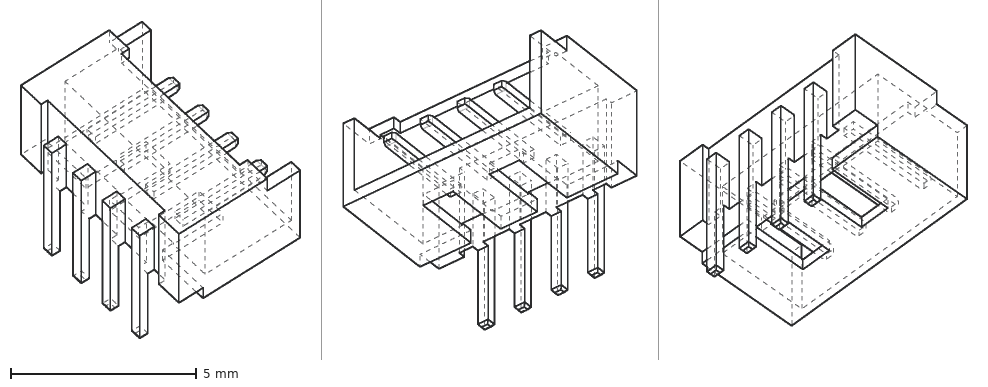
import cadquery as cq


body_width = 6.75
body_depth = 4.22
body_height = 3.335
floor_thickness = 0.385
wall_thickness = 0.385
rear_wall_thickness = 1.215

mouth_step_depth = 1.14
mouth_step_height = 0.505
roof_notch_depth = 0.27
roof_notch_width = body_width - 2 * 0.85

rear_recess_depth = 0.22
rear_recess_width = body_width - 2 * 0.87
rear_step_depth = 0.84
rear_step_height = 0.44
slot_width = 1.01
slot_outer_edge = 1.635
slot_to_mouth = 1.28

pin_count = 4
pin_pitch = 1.25
pin_width = 0.35
pin_thickness = 0.285
leg_top = 2.25
contact_center_height = (floor_thickness + body_height - wall_thickness) / 2
pin_tip_to_mouth = 0.03
pin_tip_length = 0.13
pin_tip_inset = 0.04
leg_bottom = -2.15
leg_tip_length = 0.095
leg_tip_inset = 0.07


def block(width, y_start, y_end, z_start, z_end, x_center=0):
    """Box centred on x_center, spanning the given Y and Z ranges."""
    return (
        cq.Workplane("XY")
        .box(width, y_end - y_start, z_end - z_start, centered=(True, False, False))
        .translate((x_center, y_start, z_start))
    )


def tapered_tip(plane, length, inset):
    """Four-sided pin tip that narrows along the normal of the plane."""
    return (
        plane.rect(pin_width, pin_thickness)
        .workplane(offset=length)
        .rect(pin_width - 2 * inset, pin_thickness - 2 * inset)
        .loft(combine=True)
    )


def make_housing():
    mouth_step_y = body_depth - mouth_step_depth
    roof_edge_y = mouth_step_y - roof_notch_depth
    side_wall_top = body_height - mouth_step_height
    roof_underside = body_height - wall_thickness
    cavity_width = body_width - 2 * wall_thickness

    housing = block(body_width, 0, body_depth, 0, body_height)
    cavity = block(cavity_width, rear_wall_thickness, body_depth, floor_thickness, roof_underside)
    mouth_step = block(body_width, mouth_step_y, body_depth, side_wall_top, body_height)
    roof_notch = block(roof_notch_width, roof_edge_y, mouth_step_y, roof_underside, body_height)
    rear_recess = block(rear_recess_width, 0, rear_recess_depth, 0, body_height)
    rear_step = block(body_width, 0, rear_step_depth, 0, rear_step_height)

    for cutter in (cavity, mouth_step, roof_notch, rear_recess, rear_step):
        housing = housing.cut(cutter)

    slot_end_y = body_depth - slot_to_mouth
    slot_center = slot_outer_edge - slot_width / 2
    for x in (-slot_center, slot_center):
        housing = housing.cut(block(slot_width, rear_step_depth, slot_end_y, 0, rear_step_height, x))
    return housing


def make_pin(x):
    """Pin: a contact along Y, a leg down behind the housing and a web between leg and recess."""
    contact_tip_y = body_depth - pin_tip_to_mouth - pin_tip_length
    leg_tip_z = leg_bottom + leg_tip_length
    contact_bottom = contact_center_height - pin_thickness / 2
    contact_top = contact_bottom + pin_thickness

    contact = block(pin_width, -pin_thickness, contact_tip_y, contact_bottom, contact_top, x)
    leg = block(pin_width, -pin_thickness, 0, leg_tip_z, leg_top, x)
    web = block(pin_width, -pin_thickness, rear_recess_depth, rear_step_height, leg_top, x)

    contact_end = cq.Workplane(
        cq.Plane((x, contact_tip_y, contact_center_height), xDir=(1, 0, 0), normal=(0, 1, 0))
    )
    leg_end = cq.Workplane(
        cq.Plane((x, -pin_thickness / 2, leg_tip_z), xDir=(1, 0, 0), normal=(0, 0, -1))
    )
    contact_tip = tapered_tip(contact_end, pin_tip_length, pin_tip_inset)
    leg_tip = tapered_tip(leg_end, leg_tip_length, leg_tip_inset)
    return contact.union(leg).union(web).union(contact_tip).union(leg_tip)


result = make_housing()
for index in range(pin_count):
    result = result.union(make_pin((index - (pin_count - 1) / 2) * pin_pitch))